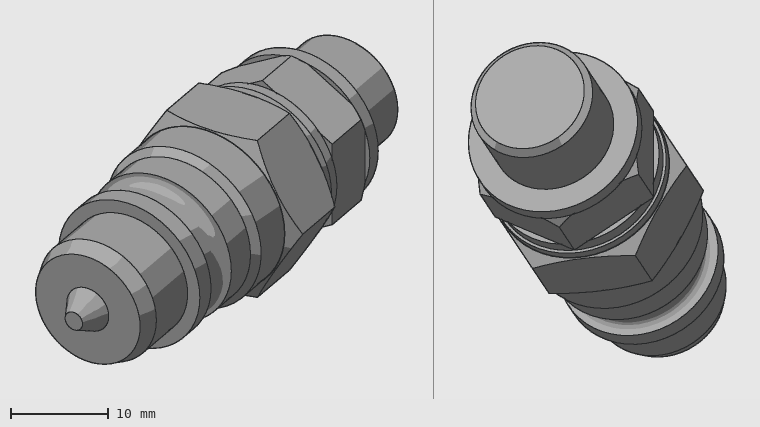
import cadquery as cq
import math

TOTAL_LENGTH = 52.7
TIP_Y = -TOTAL_LENGTH / 2

NOSE_FACE = 2.7
NOSE_TAPER_END = 4.65
FLANGE_FRONT = 10.65
FLANGE_BACK = 12.8
GROOVE_BACK = 16.7
SHOULDER_FRONT = 20.4
SHOULDER_TAPER_END = 21.2
LARGE_HEX_FRONT = 25.65
LARGE_HEX_BACK = 33.7
BODY_BACK = 34.75
SMALL_HEX_FRONT = 36.25
SMALL_HEX_BACK = 42.6
COLLAR_BACK = 44.2

TIP_RADIUS = 1.05
TIP_BASE_RADIUS = 2.55
NOSE_FACE_RADIUS = 6.3
NOSE_RADIUS = 7.05
FLANGE_RADIUS = 8.55
GROOVE_RADIUS = 7.2
BODY_RADIUS = 9.35
COLLAR_RADIUS = 9.0
SPIGOT_RADIUS = 6.5
SPIGOT_CHAMFER = 0.7

GROOVE_FRONT_FILLET = 0.9
GROOVE_BACK_FILLET = 1.1

LARGE_HEX_CORNERS = 21.9
LARGE_HEX_CHAMFER_RADIUS = 9.4
LARGE_HEX_CHAMFER_ANGLE = 30.0
SMALL_HEX_CORNERS = 19.5
SMALL_HEX_CHAMFER_RADIUS = COLLAR_RADIUS
SMALL_HEX_CHAMFER_ANGLE = 45.0


def revolve_about_y(profile):
    """Turn a closed (radius, station) profile about Y and place its tip at TIP_Y."""
    return profile.close().revolve(360, (0, 0, 0), (0, 1, 0)).translate((0, TIP_Y, 0))


def fillet_midpoint(centre_radius, centre_station, fillet, axial_direction):
    """Middle of a groove fillet arc, 45 degrees inward from its centre."""
    offset = fillet * math.sqrt(0.5)
    return (centre_radius - offset, centre_station + axial_direction * offset)


def turned_body():
    front_centre_radius = GROOVE_RADIUS + GROOVE_FRONT_FILLET
    front_centre_station = FLANGE_BACK + GROOVE_FRONT_FILLET
    back_centre_radius = GROOVE_RADIUS + GROOVE_BACK_FILLET
    back_centre_station = GROOVE_BACK - GROOVE_BACK_FILLET
    profile = (
        cq.Workplane("XY")
        .moveTo(0, 0)
        .lineTo(TIP_RADIUS, 0)
        .lineTo(TIP_BASE_RADIUS, NOSE_FACE)
        .lineTo(NOSE_FACE_RADIUS, NOSE_FACE)
        .lineTo(NOSE_RADIUS, NOSE_TAPER_END)
        .lineTo(NOSE_RADIUS, FLANGE_FRONT)
        .lineTo(FLANGE_RADIUS, FLANGE_FRONT)
        .lineTo(FLANGE_RADIUS, FLANGE_BACK)
        .lineTo(front_centre_radius, FLANGE_BACK)
        .threePointArc(
            fillet_midpoint(front_centre_radius, front_centre_station, GROOVE_FRONT_FILLET, -1),
            (GROOVE_RADIUS, front_centre_station),
        )
        .lineTo(GROOVE_RADIUS, back_centre_station)
        .threePointArc(
            fillet_midpoint(back_centre_radius, back_centre_station, GROOVE_BACK_FILLET, 1),
            (back_centre_radius, GROOVE_BACK),
        )
        .lineTo(FLANGE_RADIUS, GROOVE_BACK)
        .lineTo(FLANGE_RADIUS, SHOULDER_FRONT)
        .lineTo(BODY_RADIUS, SHOULDER_TAPER_END)
        .lineTo(BODY_RADIUS, BODY_BACK)
        .lineTo(COLLAR_RADIUS, BODY_BACK)
        .lineTo(COLLAR_RADIUS, SMALL_HEX_FRONT)
        .lineTo(SPIGOT_RADIUS, SMALL_HEX_FRONT)
        .lineTo(SPIGOT_RADIUS, SMALL_HEX_BACK)
        .lineTo(COLLAR_RADIUS, SMALL_HEX_BACK)
        .lineTo(COLLAR_RADIUS, COLLAR_BACK)
        .lineTo(SPIGOT_RADIUS, COLLAR_BACK)
        .lineTo(SPIGOT_RADIUS, TOTAL_LENGTH - SPIGOT_CHAMFER)
        .lineTo(SPIGOT_RADIUS - SPIGOT_CHAMFER, TOTAL_LENGTH)
        .lineTo(0, TOTAL_LENGTH)
    )
    return revolve_about_y(profile)


def hexagon(corners, front, back, rotation):
    """Hexagonal prism along Y; at zero rotation two corners lie on the X axis."""
    return (
        cq.Workplane("XZ", origin=(0, TIP_Y + front, 0))
        .polygon(6, corners)
        .extrude(front - back)
        .rotate((0, 0, 0), (0, 1, 0), rotation)
    )


def chamfer_envelope(corners, front, back, end_radius, angle, chamfer_front):
    """Turned blank whose conical ends trim the corners of a hexagon."""
    corner_radius = corners / 2
    drop = (corner_radius - end_radius) * math.tan(math.radians(angle))
    profile = cq.Workplane("XY").moveTo(0, front)
    if chamfer_front:
        profile = profile.lineTo(end_radius, front).lineTo(corner_radius, front + drop)
    else:
        profile = profile.lineTo(corner_radius, front)
    profile = profile.lineTo(corner_radius, back - drop).lineTo(end_radius, back).lineTo(0, back)
    return revolve_about_y(profile)


def chamfered_hexagon(corners, front, back, rotation, end_radius, angle, chamfer_front):
    envelope = chamfer_envelope(corners, front, back, end_radius, angle, chamfer_front)
    return hexagon(corners, front, back, rotation).intersect(envelope)


large_hexagon = chamfered_hexagon(
    LARGE_HEX_CORNERS,
    LARGE_HEX_FRONT,
    LARGE_HEX_BACK,
    rotation=0,
    end_radius=LARGE_HEX_CHAMFER_RADIUS,
    angle=LARGE_HEX_CHAMFER_ANGLE,
    chamfer_front=True,
)
small_hexagon = chamfered_hexagon(
    SMALL_HEX_CORNERS,
    SMALL_HEX_FRONT,
    SMALL_HEX_BACK,
    rotation=30,
    end_radius=SMALL_HEX_CHAMFER_RADIUS,
    angle=SMALL_HEX_CHAMFER_ANGLE,
    chamfer_front=False,
)

result = turned_body().union(large_hexagon).union(small_hexagon)